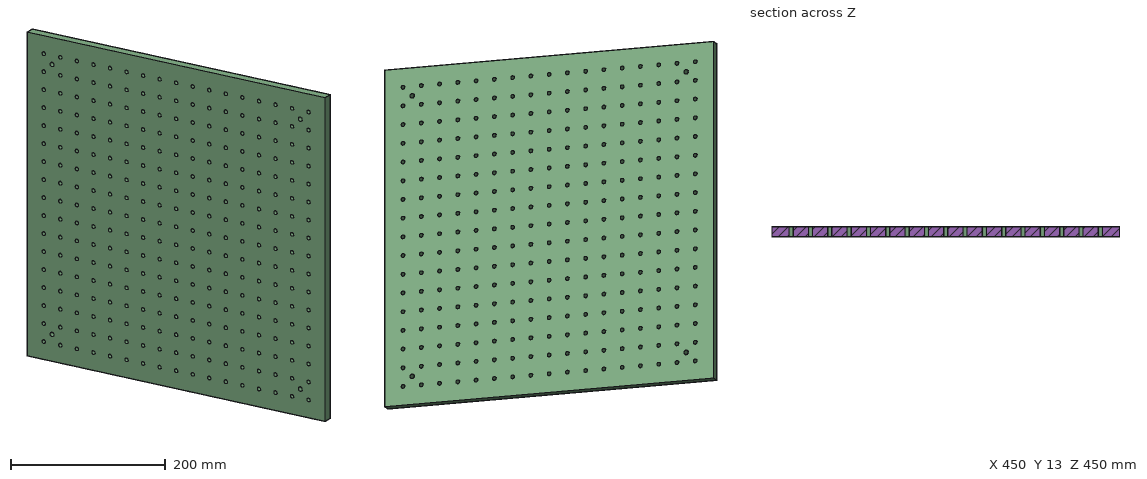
import cadquery as cq

side = 450.0
thickness = 13.0

holes_per_row = 17
pitch = side / (holes_per_row + 1)
grid_hole_diameter = 5.0

mount_holes_per_row = 2
mount_spacing = (holes_per_row - 2) * pitch
mount_hole_diameter = 6.0


def drill_square_pattern(plate, spacing, count_per_row, diameter):
    """Drill a centred square pattern of holes through the plate along Y."""
    return (
        plate.faces("<Y")
        .workplane(centerOption="CenterOfMass")
        .rarray(spacing, spacing, count_per_row, count_per_row)
        .hole(diameter)
    )


plate = cq.Workplane("XY").box(side, thickness, side)
plate = drill_square_pattern(plate, pitch, holes_per_row, grid_hole_diameter)
result = drill_square_pattern(plate, mount_spacing, mount_holes_per_row, mount_hole_diameter)